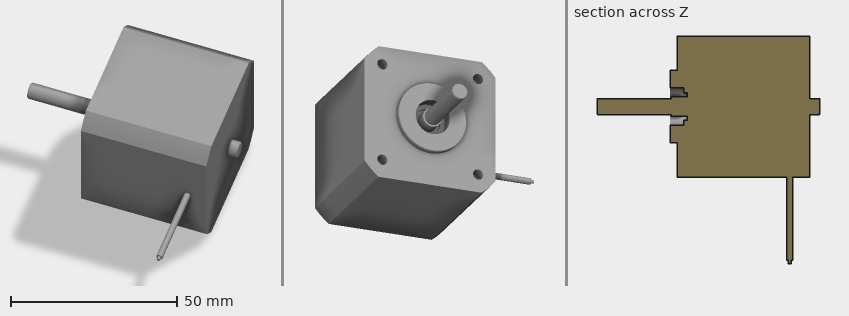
import cadquery as cq


body_length = 40.0
body_width = 42.5
corner_diameter = 54.05

hole_spacing = 31.0
hole_diameter = 3.3
hole_depth = 4.5
drill_point_depth = hole_diameter / 2

boss_diameter = 22.0
boss_height = 2.0
boss_chamfer = 0.2
recess_diameter = 11.0
recess_depth = 4.0
bore_diameter = 8.0
bore_depth = 1.0
collar_diameter = 6.0
collar_setback = 0.2

shaft_diameter = 5.0
shaft_front = 24.0
shaft_rear = 3.0
shaft_chamfer = 0.3

wire_diameter = 2.0
core_diameter = 1.0
wire_length = 25.0
core_length = 1.0
wire_from_rear = 6.0


def x_cylinder(diameter, x_start, x_end):
    """Cylinder on the motor axis between two X positions."""
    return cq.Workplane("YZ").workplane(offset=x_start).circle(diameter / 2).extrude(x_end - x_start)


def make_body():
    """Square block whose corners are turned to a common circle."""
    block = cq.Workplane("YZ").rect(body_width, body_width).extrude(body_length)
    return block.intersect(x_cylinder(corner_diameter, 0, body_length))


def make_mounting_hole():
    """Blind hole with a conical bottom, as one revolved cutter on the X axis."""
    radius = hole_diameter / 2
    return (
        cq.Workplane("XY")
        .lineTo(0, radius)
        .lineTo(hole_depth, radius)
        .lineTo(hole_depth + drill_point_depth, 0)
        .close()
        .revolve(360, (0, 0, 0), (1, 0, 0))
    )


def make_boss():
    """Pilot boss with a chamfered front rim."""
    return x_cylinder(boss_diameter, -boss_height, 0).faces("<X").chamfer(boss_chamfer)


def make_shaft():
    """Shaft running through the body, chamfered at both ends."""
    shaft = x_cylinder(shaft_diameter, -shaft_front, body_length + shaft_rear)
    return shaft.faces("<X or >X").chamfer(shaft_chamfer)


def make_wire():
    """Insulated lead with its bare core showing at the end."""
    side = cq.Workplane("XZ", origin=(body_length - wire_from_rear, -body_width / 2, 0))
    insulation = side.circle(wire_diameter / 2).extrude(wire_length)
    core = side.circle(core_diameter / 2).extrude(wire_length + core_length)
    return insulation.union(core)


recess_floor = recess_depth - boss_height
bore_floor = recess_floor + bore_depth

result = make_body().union(make_boss())
result = result.cut(x_cylinder(recess_diameter, -boss_height, recess_floor))
result = result.cut(x_cylinder(bore_diameter, recess_floor, bore_floor))
result = result.union(x_cylinder(collar_diameter, collar_setback - boss_height, bore_floor))

mounting_hole = make_mounting_hole()
for y_side in (-1, 1):
    for z_side in (-1, 1):
        position = (0, y_side * hole_spacing / 2, z_side * hole_spacing / 2)
        result = result.cut(mounting_hole.translate(position))

result = result.union(make_shaft()).union(make_wire())